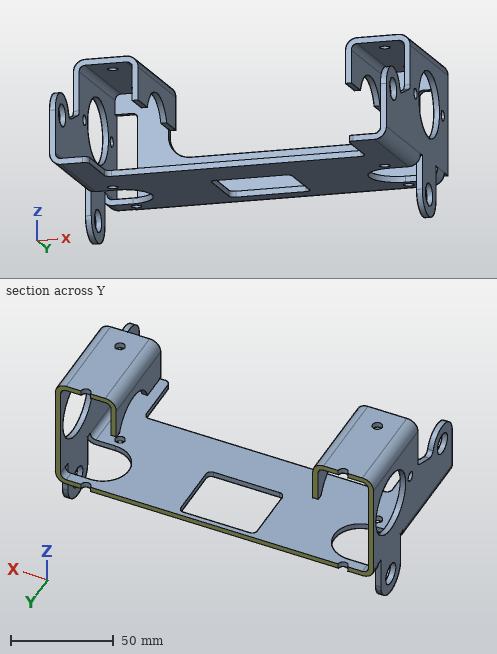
import cadquery as cq
import math


width = 171.62
depth = 99.65
sheet = 3.0
bend_inner = 3.0
bend_outer = bend_inner + sheet
half_width = width / 2

lug_radius = 11.1
lug_hole_diameter = 11.2
tab_center_z = -11.0
ear_center_z = 27.6
ear_center_y = -depth + lug_radius

total_height = 84.43
rail_top = total_height + tab_center_z - lug_radius
rail_width = 33.0
rail_length = 61.1
lip_bottom = 39.8
rail_center_x = half_width - rail_width / 2
rail_center_y = -rail_length / 2

step_z = 34.6
slope_angle = 22.2
wall_corner_radius = 3.0
bore_z = 34.1
bore_diameter = 33.4
wall_screw_spacing = 44.0
screw_diameter = 5.0

rail_screw_spacing = 38.5

front_notch_half_width = half_width - 19.6
front_notch_y = -70.2
corner_radius = 2.7
window_width = 41.0
window_back_y = -13.9
window_depth = 33.4
tab_slot_radius = 13.9

back_half_width = 71.5
shoulder_z = 49.2
opening_half_width = half_width - 30.1
opening_bottom = 24.9
opening_radius = 11.3

margin = 1.0
tolerance = 0.001


def edges_at_heights(body, heights):
    """Edges along Y whose height is one of the given values."""
    picked = []
    for edge in body.edges("|Y").vals():
        if any(abs(edge.Center().z - height) < tolerance for height in heights):
            picked.append(edge)
    return body.newObject(picked)


def folded_channel():
    """Floor, walls, rails and lips as one folded section over the full depth."""
    lip_x = half_width - rail_width
    right_half = [
        (half_width, 0),
        (half_width, rail_top),
        (lip_x, rail_top),
        (lip_x, lip_bottom),
        (lip_x + sheet, lip_bottom),
        (lip_x + sheet, rail_top - sheet),
        (half_width - sheet, rail_top - sheet),
        (half_width - sheet, sheet),
    ]
    left_half = [(-x, z) for x, z in reversed(right_half)]
    body = cq.Workplane("XZ").polyline(right_half + left_half).close().extrude(depth)
    body = edges_at_heights(body, [0, rail_top]).fillet(bend_outer)
    return edges_at_heights(body, [sheet, rail_top - sheet]).fillet(bend_inner)


def side_envelope():
    """Side silhouette above the floor underside, as a prism across the full width."""
    drop = -(ear_center_y + rail_length) * math.tan(math.radians(slope_angle))
    base = (
        cq.Workplane("YZ")
        .moveTo(0, 0)
        .lineTo(-depth, 0)
        .lineTo(-depth, ear_center_z)
        .lineTo(ear_center_y, ear_center_z)
        .lineTo(ear_center_y, step_z - drop)
        .lineTo(-rail_length, step_z)
        .lineTo(-rail_length, rail_top)
        .lineTo(0, rail_top)
        .close()
        .extrude(half_width, both=True)
    )
    ear = (
        cq.Workplane("YZ")
        .center(ear_center_y, ear_center_z)
        .circle(lug_radius)
        .extrude(half_width, both=True)
    )
    concave_corners = cq.selectors.BoxSelector(
        (-half_width, ear_center_y, step_z - drop),
        (half_width, -rail_length + sheet, step_z + sheet),
    )
    return base.union(ear).edges("|X").edges(concave_corners).fillet(wall_corner_radius)


def across_hole(diameter, y, z):
    """Cylinder along X through the full width."""
    return cq.Workplane("YZ").center(y, z).circle(diameter / 2).extrude(half_width, both=True)


def floor_cuts():
    """Central window and the wide notch in the front edge."""
    window = (
        cq.Workplane("XY")
        .center(0, window_back_y - window_depth / 2)
        .rect(window_width, window_depth)
        .extrude(sheet)
        .edges("|Z")
        .fillet(corner_radius)
    )
    notch_depth = depth + front_notch_y
    notch = (
        cq.Workplane("XY")
        .center(0, front_notch_y - notch_depth / 2)
        .rect(2 * front_notch_half_width, notch_depth)
        .extrude(sheet)
        .edges("|Z and >Y")
        .fillet(corner_radius)
    )
    return window.union(notch)


def tab_slot(side):
    """Clearance slot in the floor, open through the bend, round at its inner end."""
    slot_length = half_width - rail_center_x
    round_end = (
        cq.Workplane("XY")
        .center(side * rail_center_x, rail_center_y)
        .circle(tab_slot_radius)
        .extrude(bend_outer)
    )
    straight = (
        cq.Workplane("XY")
        .center(side * (rail_center_x + slot_length / 2), rail_center_y)
        .rect(slot_length, 2 * tab_slot_radius)
        .extrude(bend_outer)
    )
    return round_end.union(straight)


def tab(side):
    """Lug hanging below the floor, in the plane of the side wall."""
    outer_face = cq.Workplane("YZ", origin=(side * half_width, rail_center_y, 0))
    return (
        outer_face.moveTo(-lug_radius, bend_outer)
        .lineTo(-lug_radius, tab_center_z)
        .threePointArc((0, tab_center_z - lug_radius), (lug_radius, tab_center_z))
        .lineTo(lug_radius, bend_outer)
        .close()
        .extrude(-side * sheet)
    )


def back_plate():
    """Plate folded up from the floor, with a U opening and arms reaching the walls."""
    fold = (
        cq.Workplane("YZ")
        .moveTo(-bend_outer, 0)
        .radiusArc((0, bend_outer), -bend_outer)
        .lineTo(-sheet, bend_outer)
        .radiusArc((-bend_outer, sheet), bend_inner)
        .close()
        .extrude(back_half_width, both=True)
    )
    web_height = rail_top - sheet - bend_outer
    web = (
        cq.Workplane("XY")
        .box(2 * back_half_width, sheet, web_height, centered=(True, False, False))
        .translate((0, -sheet, bend_outer))
    )
    arms = (
        cq.Workplane("XY")
        .box(width - 2 * sheet, sheet, rail_top - sheet - shoulder_z, centered=(True, False, False))
        .translate((0, -sheet, shoulder_z))
        .edges("|Y and >Z")
        .fillet(bend_inner)
    )
    plate = web.union(arms)
    inner_corners = cq.selectors.BoxSelector(
        (-back_half_width - margin, -sheet, shoulder_z - margin),
        (back_half_width + margin, 0, shoulder_z + margin),
    )
    plate = plate.edges("|Y").edges(inner_corners).fillet(corner_radius)
    opening = (
        cq.Workplane("XY")
        .box(2 * opening_half_width, sheet, rail_top - opening_bottom, centered=(True, False, False))
        .translate((0, -sheet, opening_bottom))
        .edges("|Y and <Z")
        .fillet(opening_radius)
    )
    return fold.union(plate.cut(opening))


body = folded_channel().intersect(side_envelope())
body = body.cut(floor_cuts())

toes = cq.selectors.BoxSelector(
    (-front_notch_half_width - margin, -depth - margin, -margin),
    (front_notch_half_width + margin, -depth + margin, sheet + margin),
)
body = body.edges("|Z").edges(toes).fillet(corner_radius)

back_relief = cq.Workplane("XY").box(width, bend_outer, bend_outer, centered=(True, False, False))
body = body.cut(back_relief.translate((0, -bend_outer, 0)))
body = body.union(back_plate())

for side in (-1, 1):
    body = body.cut(tab_slot(side)).union(tab(side))

body = body.cut(across_hole(bore_diameter, rail_center_y, bore_z))
body = body.cut(across_hole(lug_hole_diameter, rail_center_y, tab_center_z))
body = body.cut(across_hole(lug_hole_diameter, ear_center_y, ear_center_z))
for direction in (-1, 1):
    screw_y = rail_center_y + direction * wall_screw_spacing / 2
    body = body.cut(across_hole(screw_diameter, screw_y, bore_z))

rail_screws = (
    cq.Workplane("XY")
    .center(0, rail_center_y)
    .rect(2 * rail_center_x, rail_screw_spacing, forConstruction=True)
    .vertices()
    .circle(screw_diameter / 2)
    .extrude(rail_top)
)
result = body.cut(rail_screws)